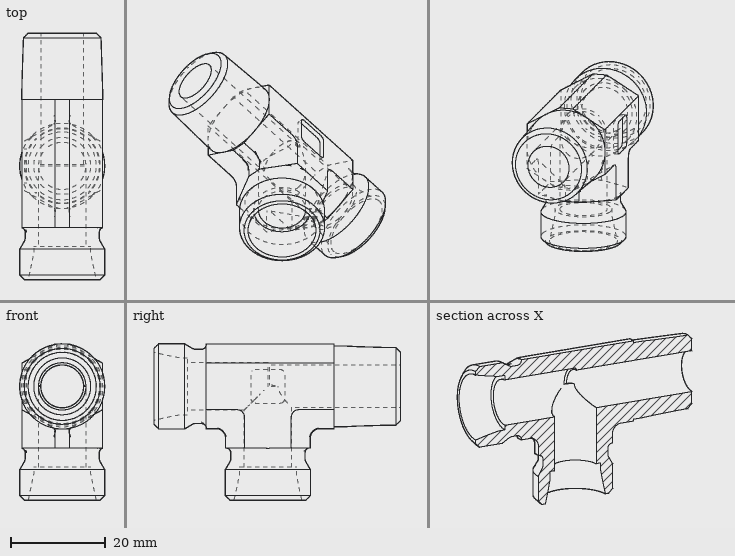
import cadquery as cq
import math

overall_length = 52.0
branch_reach = 24.0
run_back_reach = overall_length - branch_reach

across_flats = 17.0
corner_height = 8.95
body_front = 13.0
body_back = 14.0
inside_corner_radius = 2.0
selection_margin = 0.05

connector_radius = 18.0 / 2
neck_radius = 15.7 / 2
neck_fillet = 1.0
thread_length = 6.45
shoulder_half_angle = math.radians(30)
shoulder_fillet = 1.35
tip_chamfer = 1.0

mouth_radius = 14.35 / 2
socket_radius = 12.0 / 2
socket_depth = 7.0
socket_half_angle = math.radians(12)
connector_bore_radius = 10.0 / 2
drill_half_angle = math.radians(59)

taper_radius = 17.1 / 2
straight_length = 2.1
taper_per_length = 1 / 16
back_bore_radius = 9.0 / 2

recess_side = 7.1
recess_depth = 1.0
recess_corner_radius = 1.0


def along_y(solid):
    """Turn a solid built along Z so that +Z becomes +Y."""
    return solid.rotate((0, 0, 0), (1, 0, 0), -90)


def revolve(outline):
    """Spin a closed (radius, height) outline about the Z axis."""
    return outline.close().revolve(360, (0, 0, 0), (0, 1, 0))


def hex_bar(start, length):
    """Hexagonal bar along Z with flats on the X sides and its Y corners truncated."""
    hexagon = cq.Workplane("XY", origin=(0, 0, start)).polygon(6, across_flats, circumscribed=True)
    bar = hexagon.extrude(length)
    keep = cq.Workplane("XY", origin=(0, 0, start)).rect(across_flats, 2 * corner_height).extrude(length)
    return bar.intersect(keep)


def make_body():
    run = along_y(hex_bar(-body_front, body_front + body_back))
    branch_top = hex_bar(-body_front, body_front)
    body = run.union(branch_top)
    limit = corner_height + selection_margin
    junction = cq.selectors.BoxSelector(
        (-across_flats, -limit, -limit),
        (across_flats, limit, -across_flats / 4),
    )
    inside_edges = body.edges(junction).edges("not(|Y or |Z)")
    return inside_edges.fillet(inside_corner_radius)


def make_connector():
    """Solid connector running down -Z from the body face to its tip."""
    cone_end = -branch_reach + thread_length
    cone_length = (connector_radius - neck_radius) / math.tan(shoulder_half_angle)
    neck_corner = cone_end + cone_length
    tangent = shoulder_fillet * math.tan(shoulder_half_angle / 2)
    fillet_start = (neck_radius, neck_corner + tangent)
    fillet_middle = (
        neck_radius + shoulder_fillet * (1 - math.cos(shoulder_half_angle / 2)),
        neck_corner + tangent - shoulder_fillet * math.sin(shoulder_half_angle / 2),
    )
    fillet_end = (
        neck_radius + tangent * math.sin(shoulder_half_angle),
        neck_corner - tangent * math.cos(shoulder_half_angle),
    )
    diagonal = neck_fillet * (1 - math.sqrt(0.5))
    outline = (
        cq.Workplane("XZ")
        .moveTo(0, -body_front)
        .lineTo(neck_radius + neck_fillet, -body_front)
        .threePointArc(
            (neck_radius + diagonal, -body_front - diagonal),
            (neck_radius, -body_front - neck_fillet),
        )
        .lineTo(*fillet_start)
        .threePointArc(fillet_middle, fillet_end)
        .lineTo(connector_radius, cone_end)
        .lineTo(connector_radius, -branch_reach + tip_chamfer)
        .lineTo(connector_radius - tip_chamfer, -branch_reach)
        .lineTo(0, -branch_reach)
    )
    connector = revolve(outline)
    neck_zone = hex_bar(-body_front - neck_fillet, neck_fillet)
    below_neck = (
        cq.Workplane("XY", origin=(0, 0, -branch_reach))
        .circle(connector_radius)
        .extrude(branch_reach - body_front - neck_fillet)
    )
    return connector.intersect(neck_zone.union(below_neck))


def make_connector_bore():
    """Conical socket, stepped down to a bore that ends in a drill point at the origin."""
    cone_depth = (mouth_radius - socket_radius) / math.tan(socket_half_angle)
    outline = (
        cq.Workplane("XZ")
        .moveTo(0, -branch_reach)
        .lineTo(mouth_radius, -branch_reach)
        .lineTo(socket_radius, -branch_reach + cone_depth)
        .lineTo(socket_radius, -branch_reach + socket_depth)
        .lineTo(connector_bore_radius, -branch_reach + socket_depth)
        .lineTo(connector_bore_radius, 0)
        .lineTo(0, connector_bore_radius / math.tan(drill_half_angle))
    )
    return revolve(outline)


def make_back_end():
    """Tapered thread on the +Y end, built up +Z and turned onto the run."""
    taper_start = body_back + straight_length
    chamfer_start = run_back_reach - tip_chamfer
    small_radius = taper_radius - (chamfer_start - taper_start) * taper_per_length / 2
    outline = (
        cq.Workplane("XZ")
        .moveTo(0, body_back)
        .lineTo(taper_radius, body_back)
        .lineTo(taper_radius, taper_start)
        .lineTo(small_radius, chamfer_start)
        .lineTo(small_radius - tip_chamfer, run_back_reach)
        .lineTo(0, run_back_reach)
    )
    return along_y(revolve(outline))


def make_back_bore():
    return along_y(cq.Workplane("XY").circle(back_bore_radius).extrude(run_back_reach))


def make_recess():
    return (
        cq.Workplane("YZ", origin=(-across_flats / 2, 0, 0))
        .rect(recess_side, recess_side)
        .extrude(recess_depth)
        .edges("|X")
        .fillet(recess_corner_radius)
    )


connector = make_connector()
connector_bore = make_connector_bore()

result = (
    make_body()
    .union(connector)
    .union(along_y(connector))
    .union(make_back_end())
    .cut(connector_bore)
    .cut(along_y(connector_bore))
    .cut(make_back_bore())
    .cut(make_recess())
)